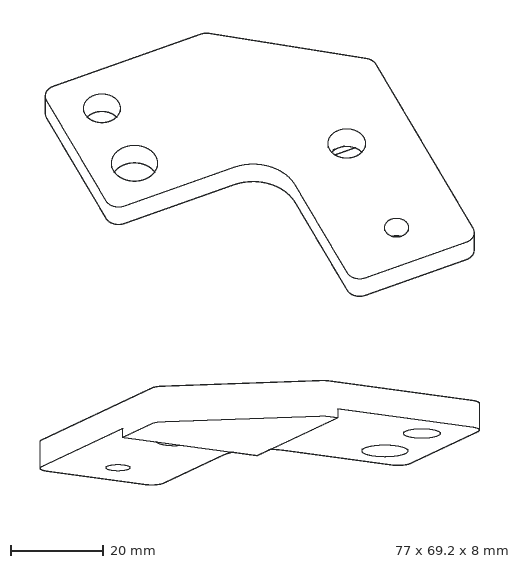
import cadquery as cq

length = 77.0
depth = 69.15
plate_thickness = 6.0
pad_thickness = 2.0

leg_width = 36.95
arm_width = 30.0
slope_run = 22.0
slope_drop = 30.0

outer_radius = 3.0
inner_radius = 10.0

pad_depth = 33.1

leg_hole_y = 10.0
arm_hole_y = depth - arm_width / 2
holes = [
    (10.0, leg_hole_y, 8.0),
    (26.95, leg_hole_y, 10.0),
    (41.05, arm_hole_y, 8.2),
    (67.0, arm_hole_y, 5.2),
]


def make_plate(height):
    """L-shaped prism with a sloped outer corner and rounded vertical edges."""
    inner_corner = (leg_width, depth - arm_width)
    outline = [
        (0, 0),
        (leg_width, 0),
        inner_corner,
        (length, depth - arm_width),
        (length, depth),
        (slope_run, depth),
        (0, depth - slope_drop),
    ]
    plate = cq.Workplane("XY").polyline(outline).close().extrude(height)
    nearest_inner = cq.selectors.NearestToPointSelector((*inner_corner, height / 2))
    vertical = cq.selectors.ParallelDirSelector(cq.Vector(0, 0, 1))
    rounded = plate.edges(vertical - nearest_inner).fillet(outer_radius)
    return rounded.edges(nearest_inner).fillet(inner_radius)


def make_underside_relief():
    """Material below the plate everywhere except at the pad."""
    below = cq.Workplane("XY").box(length, depth, pad_thickness, centered=False)
    pad = (
        cq.Workplane("XY")
        .box(leg_width, pad_depth, pad_thickness, centered=False)
        .translate((0, depth - pad_depth, 0))
    )
    return below.cut(pad)


total_height = plate_thickness + pad_thickness
result = make_plate(total_height).cut(make_underside_relief())

for x, y, diameter in holes:
    drill = cq.Workplane("XY").center(x, y).circle(diameter / 2).extrude(total_height)
    result = result.cut(drill)